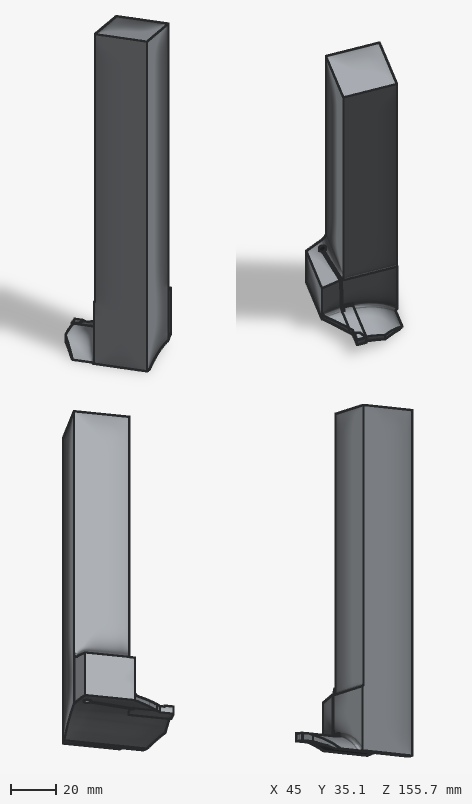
import cadquery as cq
import math


shank_width = 25.0
shank_length = 155.67
head_step = 0.5
head_height = 28.95
step_radius = 1.2
head_face = -head_step

clamp_edge = 35.1
clamp_end_low = 24.9
clamp_end_high = 22.0
clamp_top_root = 29.8
clamp_top_slope = 15.0
clamp_root_radius = 2.8

hole_x = 19.7
hole_y = 28.3
hole_diameter = 3.2
slit_width = 0.9
slit_start_x = -1.9
slit_start_y = 25.7
slit_tilt = 1.1

crown_y = 24.5
crown_top = 9.6
crown_radius = 33.2
underside_y = 26.0
underside_top = 6.3
underside_radius = 45.0
blade_end = -19.0
blade_fillet = 1.6
bevel_start_y = 11.85
bevel_end_x = -10.2
rake_y = 25.05
finger_tip = (-13.8, rake_y)
finger_bend = (-8.3, 29.2)
finger_root = (head_face, 34.8)

insert_low = 20.6
insert_high = 26.3
insert_top = 9.5
insert_tip = -20.0
flank_bend = (-19.9, 22.3)
flank_end = (-19.6, insert_low)
stop_depth = 0.35
stop_bend_y = flank_bend[1]
stop_top = crown_top + blade_fillet
edge_top = 10.0
edge_back = (-15.8, rake_y)
edge_corner = (-16.2, 22.6)
edge_end = (-19.4, 20.9)


def z_prism(points, height):
    """Plan outline raised from Z = 0."""
    return cq.Workplane("XY").polyline(points).close().extrude(height)


def make_shank():
    """Square bar with the slightly raised head, joined by a small concave arc."""
    arc_rise = math.sqrt(step_radius**2 - (step_radius - head_step) ** 2)
    arc_angle = math.acos((step_radius - head_step) / step_radius) / 2
    arc_middle = (
        -step_radius * (1 - math.cos(arc_angle)),
        head_height + arc_rise - step_radius * math.sin(arc_angle),
    )
    return (
        cq.Workplane("XZ")
        .moveTo(head_face, 0)
        .lineTo(head_face, head_height)
        .threePointArc(arc_middle, (0, head_height + arc_rise))
        .lineTo(0, shank_length)
        .lineTo(shank_width, shank_length)
        .lineTo(shank_width, 0)
        .close()
        .extrude(-shank_width)
    )


def make_clamp():
    """Arm along the +Y side, with a sloping top that blends into the shank."""
    slope = math.radians(clamp_top_slope)
    tangent = clamp_root_radius * math.tan((math.pi / 2 - slope) / 2)
    arc_centre = (shank_width + clamp_root_radius, clamp_top_root + tangent)
    arc_end = (shank_width + tangent * math.cos(slope), clamp_top_root - tangent * math.sin(slope))
    middle_angle = math.pi + (math.pi / 2 - slope) / 2
    arc_middle = (
        arc_centre[0] + clamp_root_radius * math.cos(middle_angle),
        arc_centre[1] + clamp_root_radius * math.sin(middle_angle),
    )
    outer_top = clamp_top_root - (clamp_edge - shank_width) * math.tan(slope)
    side = (
        cq.Workplane("YZ", origin=(head_face, 0, 0))
        .moveTo(shank_width, 0)
        .lineTo(shank_width, arc_centre[1])
        .threePointArc(arc_middle, arc_end)
        .lineTo(clamp_edge, outer_top)
        .lineTo(clamp_edge, 0)
        .close()
        .extrude(shank_width - head_face)
    )
    plan = z_prism(
        [
            (head_face, shank_width),
            (clamp_end_low, shank_width),
            (clamp_end_high, clamp_edge),
            (head_face, clamp_edge),
        ],
        shank_length,
    )
    return side.intersect(plan)


def make_blade():
    """Curved blade with a fillet that sweeps around the crown into the head."""
    axis_z = crown_top - crown_radius
    fillet_start = head_face - blade_fillet
    fillet_offset = blade_fillet * (1 - math.sqrt(0.5))
    fillet_middle = (head_face - fillet_offset, crown_top + fillet_offset)
    crown = (
        cq.Workplane("XZ", origin=(0, crown_y, 0))
        .moveTo(insert_tip, axis_z)
        .lineTo(insert_tip, crown_top)
        .lineTo(fillet_start, crown_top)
        .threePointArc(fillet_middle, (head_face, crown_top + blade_fillet))
        .lineTo(0, crown_top + blade_fillet)
        .lineTo(0, axis_z)
        .close()
        .revolve(360, (0, axis_z, 0), (1, axis_z, 0))
    )
    plan = z_prism(
        [
            (0, 0),
            (bevel_end_x, 0),
            (blade_end, bevel_start_y),
            (blade_end, rake_y),
            finger_tip,
            finger_bend,
            finger_root,
            (0, finger_root[1]),
        ],
        head_height,
    )
    return crown.intersect(plan)


def make_slit():
    """Tilted slit from the insert seat to a round relief hole."""
    run = math.hypot(hole_x - slit_start_x, hole_y - slit_start_y)
    slit = (
        cq.Workplane("XY")
        .box(run, slit_width, 2 * shank_length, centered=(False, True, True))
        .rotate((0, 0, 0), (1, 0, 0), -slit_tilt)
        .rotate((0, 0, 0), (0, 0, 1), math.degrees(math.asin((hole_y - slit_start_y) / run)))
        .translate((slit_start_x, slit_start_y, crown_top))
    )
    hole = cq.Workplane("XY").center(hole_x, hole_y).circle(hole_diameter / 2).extrude(shank_length)
    return slit.union(hole)


def make_underside():
    """Cylinder that hollows the lower face of blade, head and clamp arm."""
    return (
        cq.Workplane("YZ", origin=(insert_tip, 0, 0))
        .center(underside_y, underside_top - underside_radius)
        .circle(underside_radius)
        .extrude(shank_width - insert_tip)
    )


def make_insert_bar(height):
    """Plan outline of the insert, cut off at the back by the stop in the head."""
    stop_x = head_face + stop_depth
    finger_run = (finger_bend[0] - finger_tip[0]) / (finger_bend[1] - finger_tip[1])
    finger_contact_x = finger_tip[0] + (insert_high - finger_tip[1]) * finger_run
    return z_prism(
        [
            flank_end,
            flank_bend,
            (insert_tip, rake_y),
            finger_tip,
            (finger_contact_x, insert_high),
            (slit_start_x, insert_high),
            (slit_start_x, rake_y),
            (stop_x, rake_y),
            (stop_x, stop_bend_y),
            (head_face, insert_low),
        ],
        height,
    )


def make_edge_land():
    """Raised land at the cutting edge, sloping down to the bar away from the edge."""
    land = z_prism([(insert_tip, rake_y), edge_back, edge_corner, edge_end], edge_top)
    slope = (
        cq.Workplane("YZ", origin=(insert_tip, 0, 0))
        .polyline([(edge_end[1], 0), (edge_end[1], insert_top), (rake_y, edge_top), (rake_y, 0)])
        .close()
        .extrude(edge_back[0] - insert_tip)
    )
    return land.intersect(slope)


underside = make_underside()
insert = make_insert_bar(insert_top).union(make_edge_land()).cut(underside)
seat = make_insert_bar(stop_top)
holder = make_shank().union(make_clamp()).union(make_blade())
holder = holder.cut(underside).cut(make_slit()).cut(seat)

result = cq.Compound.makeCompound([holder.val(), insert.val()])